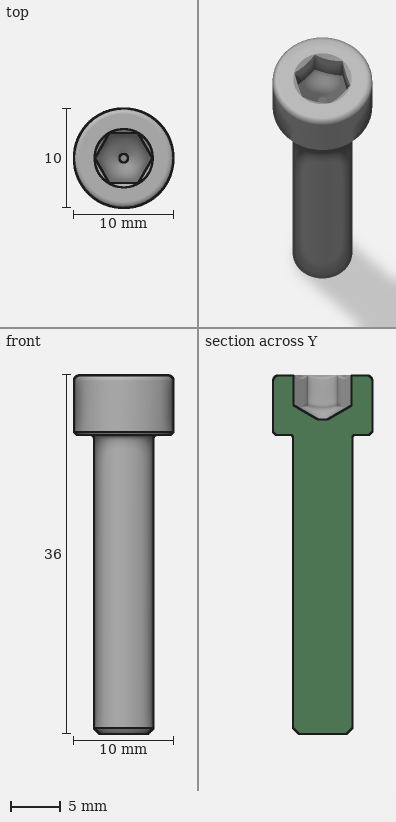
import cadquery as cq
import math

total_length = 36.0
head_diameter = 10.0
head_height = 6.0
head_top_fillet = 0.58
head_bottom_chamfer = 0.32
shank_diameter = 6.0
neck_fillet = 0.25
tip_chamfer = 0.6

hex_across_flats = 5.0
socket_depth = 3.02
mouth_clearance = 0.05
mouth_angle = 45.0
floor_angle = 30.0
floor_flat_diameter = 0.85

head_radius = head_diameter / 2
shank_radius = shank_diameter / 2
head_bottom = total_length - head_height
hex_corner_diameter = hex_across_flats / math.cos(math.radians(30))
hex_corner_radius = hex_corner_diameter / 2


def make_body():
    """Revolve the profile of head and shank about the screw axis."""
    arc_offset = math.sqrt(0.5)
    neck_arc_middle = neck_fillet * (1 - arc_offset)
    head_arc_middle = head_top_fillet * (1 - arc_offset)
    return (
        cq.Workplane("XZ")
        .moveTo(0, 0)
        .lineTo(shank_radius - tip_chamfer, 0)
        .lineTo(shank_radius, tip_chamfer)
        .lineTo(shank_radius, head_bottom - neck_fillet)
        .threePointArc(
            (shank_radius + neck_arc_middle, head_bottom - neck_arc_middle),
            (shank_radius + neck_fillet, head_bottom),
        )
        .lineTo(head_radius - head_bottom_chamfer, head_bottom)
        .lineTo(head_radius, head_bottom + head_bottom_chamfer)
        .lineTo(head_radius, total_length - head_top_fillet)
        .threePointArc(
            (head_radius - head_arc_middle, total_length - head_arc_middle),
            (head_radius - head_top_fillet, total_length),
        )
        .lineTo(0, total_length)
        .close()
        .revolve(360, (0, 0, 0), (0, 1, 0))
    )


def make_socket():
    """Hexagonal prism trimmed by a floor cone, joined to the mouth cone."""
    floor_flat_radius = floor_flat_diameter / 2
    corner_floor = total_length - socket_depth
    cone_depth = (hex_corner_radius - floor_flat_radius) * math.tan(math.radians(floor_angle))
    floor_bottom = corner_floor - cone_depth
    prism = (
        cq.Workplane("XY", origin=(0, 0, floor_bottom))
        .polygon(6, hex_corner_diameter)
        .extrude(total_length - floor_bottom)
    )
    floor_envelope = (
        cq.Workplane("XZ")
        .moveTo(0, floor_bottom)
        .lineTo(floor_flat_radius, floor_bottom)
        .lineTo(hex_corner_radius, corner_floor)
        .lineTo(hex_corner_radius, total_length)
        .lineTo(0, total_length)
        .close()
        .revolve(360, (0, 0, 0), (0, 1, 0))
    )
    mouth_radius = hex_corner_radius + mouth_clearance
    mouth_depth = mouth_radius * math.tan(math.radians(mouth_angle))
    mouth = (
        cq.Workplane("XZ")
        .moveTo(0, total_length - mouth_depth)
        .lineTo(mouth_radius, total_length)
        .lineTo(0, total_length)
        .close()
        .revolve(360, (0, 0, 0), (0, 1, 0))
    )
    return prism.intersect(floor_envelope).union(mouth)


result = make_body().cut(make_socket())